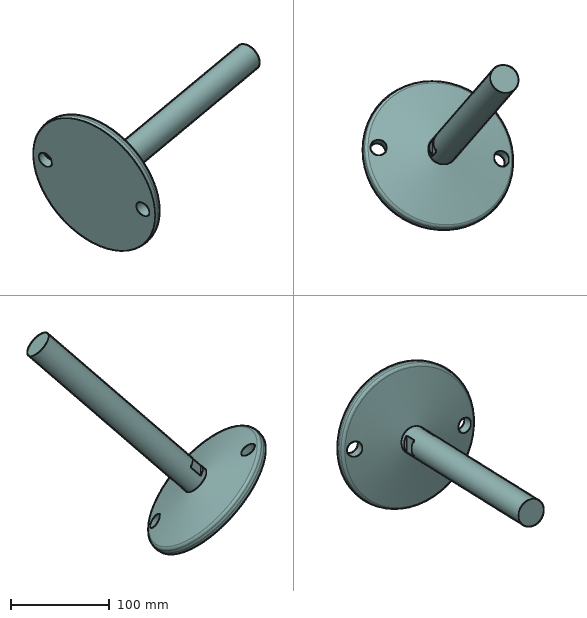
import cadquery as cq
import math

total_length = 254.0
base_diameter = 158.0
shaft_diameter = 30.0
rim_draft = 0.5
rim_widest_height = 4.0
rim_round_start = 7.0
cone_start = 10.2
cone_start_radius = 75.7
cone_end = 20.5

flat_start = 26.0
flat_length = 15.0
flat_spacing = 24.0

hole_diameter = 16.5
hole_offset = 62.7

base_radius = base_diameter / 2
shaft_radius = shaft_diameter / 2
face_radius = base_radius - rim_draft
cone_angle = math.atan2(cone_end - cone_start, cone_start_radius - shaft_radius)


def turned_body():
    """Foot plate with a double-drafted rim, rounded shoulder and cone, plus the shaft."""
    profile = (
        cq.Workplane("XY")
        .lineTo(face_radius, 0)
        .lineTo(base_radius, rim_widest_height)
        .lineTo(face_radius, rim_round_start)
        .tangentArcPoint((cone_start_radius, cone_start), relative=False)
        .lineTo(shaft_radius, cone_end)
        .lineTo(shaft_radius, total_length)
        .lineTo(0, total_length)
        .close()
    )
    return profile.revolve(360, (0, 0, 0), (0, 1, 0))


def wrench_flat(side):
    """Cutter for one wrench flat on the +X or -X side of the shaft."""
    return cq.Workplane("XY").box(
        shaft_radius, flat_length, shaft_diameter, centered=(True, False, True)
    ).translate((side * (flat_spacing + shaft_radius) / 2, flat_start, 0))


def anchor_hole(side):
    """Cutter for one through hole square to the cone, leaning outwards away from the base face."""
    axis = cq.Vector(side * math.sin(cone_angle), math.cos(cone_angle), 0)
    start = cq.Vector(side * hole_offset, 0, 0) - axis * cone_end
    return cq.Workplane(
        cq.Solid.makeCylinder(hole_diameter / 2, 2 * cone_end, start, axis)
    )


result = turned_body()
for side in (-1, 1):
    result = result.cut(wrench_flat(side))
    result = result.cut(anchor_hole(side))